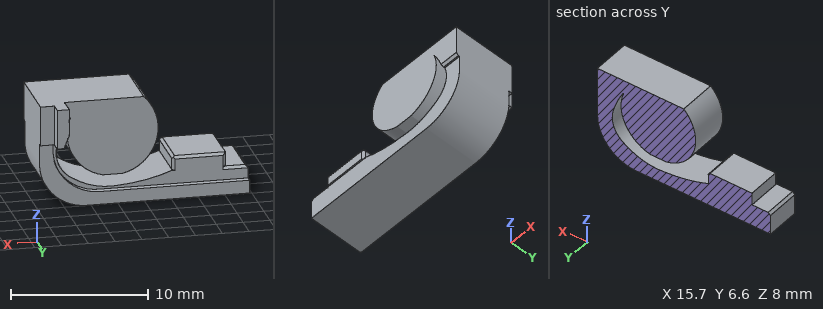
import cadquery as cq
import math

length = 15.7
height = 8.0
edge_chamfer = 0.2

arm_front = 0.31
arm_back = 5.28
foot_top = 2.0
outer_bend_radius = 3.5

gap_start = (5.67, 2.04)
gap_floor_mid = (7.61, 1.48)
gap_floor_end = (9.58, 1.21)
gap_rise_mid = (11.51, 1.32)
gap_rise_end = (13.11, 2.01)
gap_radius = 4.6 / 2
gap_side_end = (14.21, 4.79)
gap_neck_mid = (13.91, 5.67)

relief_front = 4.75
relief_floor = 1.0
relief_bend_radius = 3.5
relief_wall_x = length - relief_floor

barrel_x = 10.17
barrel_radius = 3.4
barrel_z = height - 2.5
barrel_bottom = 2.18
barrel_back = 5.01
head_bottom = 5.01
head_back = 5.6

tab_left = 13.77
tab_right = 14.66
tab_back = 6.6

pad_left = 1.66
pad_right = gap_start[0]
pad_front = 0.2
pad_top = 3.1


def plate(outline, front, back):
    """Extrude an XZ outline from y = front to y = back."""
    return outline.extrude(front - back).translate((0, front, 0))


def box(x_range, y_range, z_range):
    """Box between the given limits on each axis."""
    corner = (x_range[0], y_range[0], z_range[0])
    size = [high - low for low, high in (x_range, y_range, z_range)]
    return cq.Workplane("XY").box(*size, centered=False).translate(corner)


def barrel_half_width(z):
    """Half the chord of the barrel circle at height z."""
    return math.sqrt(barrel_radius**2 - (z - barrel_z) ** 2)


gap_tip_z = 6.78
gap_tip = (barrel_x + barrel_half_width(gap_tip_z), gap_tip_z)


def gap_cutter():
    """Crescent between the barrel and the arm, open toward the foot."""
    outline = (
        cq.Workplane("XZ")
        .moveTo(*gap_start)
        .threePointArc(gap_floor_mid, gap_floor_end)
        .threePointArc(gap_rise_mid, gap_rise_end)
        .radiusArc(gap_side_end, -gap_radius)
        .threePointArc(gap_neck_mid, gap_tip)
        .lineTo(barrel_x, barrel_z)
        .lineTo(pad_right, barrel_z)
        .close()
    )
    return plate(outline, 0, tab_back)


def arm():
    outline = (
        cq.Workplane("XZ")
        .lineTo(length - outer_bend_radius, 0)
        .radiusArc((length, outer_bend_radius), -outer_bend_radius)
        .lineTo(length, head_bottom)
        .lineTo(pad_right, head_bottom)
        .lineTo(*gap_start)
        .lineTo(pad_right - edge_chamfer, foot_top)
        .lineTo(edge_chamfer, foot_top)
        .lineTo(0, foot_top - edge_chamfer)
        .close()
    )
    return plate(outline, arm_front, arm_back)


def arm_relief():
    """Step along the back of the arm, following the outer bend."""
    outline = (
        cq.Workplane("XZ")
        .moveTo(0, relief_floor)
        .lineTo(relief_wall_x - relief_bend_radius, relief_floor)
        .radiusArc((relief_wall_x, relief_floor + relief_bend_radius), -relief_bend_radius)
        .lineTo(relief_wall_x, head_bottom)
        .lineTo(0, head_bottom)
        .close()
    )
    return plate(outline, relief_front, arm_back)


def foot_back_bevel():
    """Wedge that bevels the top back edge of the foot, left of the pad."""
    return (
        cq.Workplane("YZ")
        .moveTo(relief_front, foot_top)
        .lineTo(relief_front - edge_chamfer, foot_top)
        .lineTo(relief_front, foot_top - edge_chamfer)
        .close()
        .extrude(pad_left + edge_chamfer)
    )


def pad():
    """Block bevelled on its upright edges and on all top edges but the left one."""
    block = box((pad_left, pad_right), (pad_front, relief_front), (foot_top, pad_top))
    bevelled_sides = block.edges("|Z").chamfer(edge_chamfer)
    bevelled_front_and_back = block.edges("|X and >Z").chamfer(edge_chamfer)
    bevelled_right = block.edges(">X and >Z").chamfer(edge_chamfer)
    return bevelled_sides.intersect(bevelled_front_and_back).intersect(bevelled_right)


def barrel():
    top_half = barrel_half_width(height)
    bottom_half = barrel_half_width(barrel_bottom)
    outline = (
        cq.Workplane("XZ")
        .moveTo(barrel_x - top_half, height)
        .threePointArc((barrel_x - barrel_radius, barrel_z), (barrel_x - bottom_half, barrel_bottom))
        .lineTo(barrel_x + bottom_half, barrel_bottom)
        .threePointArc((barrel_x + barrel_radius, barrel_z), (barrel_x + top_half, height))
        .close()
    )
    return plate(outline, 0, barrel_back)


def head():
    """Block joining the barrel to the upright, with the tab behind it."""
    z_range = (head_bottom, height)
    block = box((barrel_x, length), (0, barrel_back), z_range)
    block = block.edges("<Y and <Z").chamfer(edge_chamfer)
    back_step = box((tab_left, length), (barrel_back, head_back), z_range)
    tab = box((tab_left, tab_right), (barrel_back, tab_back), z_range)
    return block.union(back_step).union(tab)


bent_arm = arm().cut(arm_relief()).cut(foot_back_bevel())
result = bent_arm.union(head()).cut(gap_cutter()).union(barrel()).union(pad()).clean()